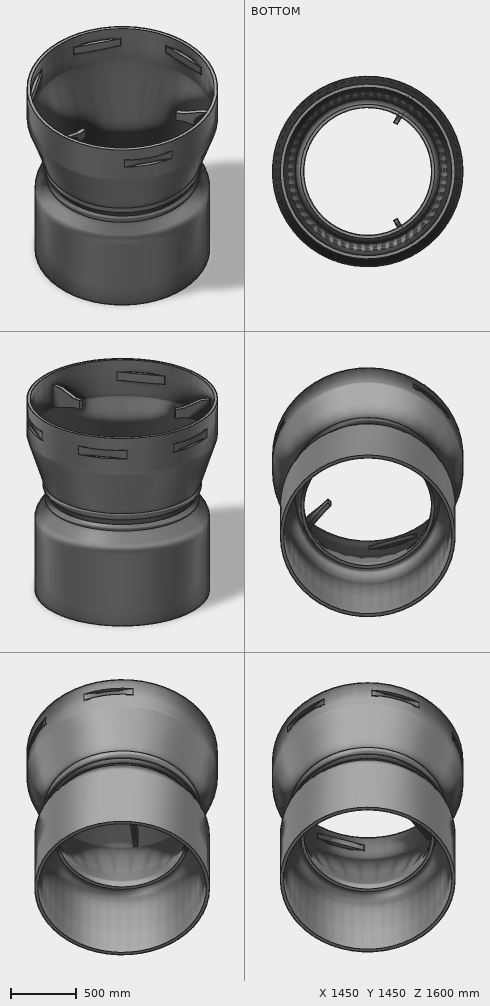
import cadquery as cq
import math

height = 1600.0
collar_outer_radius = 1450.0 / 2
collar_inner_radius = 1400.0 / 2
wall = collar_outer_radius - collar_inner_radius
pipe_outer_radius = 1330.0 / 2
pipe_inner_radius = pipe_outer_radius - wall

collar_bottom = 1310.0
funnel_angle = math.radians(18.2)
bend_outer_radius = 77.0
bend_inner_radius = bend_outer_radius - wall
spigot_outer_radius = 510.0
spigot_inner_radius = spigot_outer_radius - wall
spigot_length = 48.0
spigot_inner_bend = bend_outer_radius
spigot_outer_bend = bend_inner_radius

pipe_top = 600.0
shoulder_angle = math.radians(32.7)
shoulder_outer_bend = 128.0
shoulder_inner_bend = shoulder_outer_bend - wall

upper_bead_top = 910.0
upper_bead_bottom = 848.0
lower_bead_top = 803.0
lower_bead_bottom = 760.0
upper_bead_bulge = 16.0
lower_bead_bulge = 8.0

plate_top = height - 100.0
plate_height = 70.0
plate_width = 376.0
plate_inner_face = 675.0
plate_outer_face = 700.0
plate_angles = (0, 120, 180, 240)

fin_thickness = 32.0
fin_tip_radius = 422.0
fin_tip_flat_end = 483.0
fin_slope_end = 627.0
fin_top = plate_top
fin_tip_top = 1455.0
fin_tip_bottom = 1380.0
fin_bottom = 1302.0
fin_angles = (60, 300)


def bend_point(start_radius, start_z, bend_radius, angle, direction):
    """Point on an inward bend after turning by angle; direction is +1 upward, -1 downward."""
    radius = start_radius - bend_radius * (1 - math.cos(angle))
    return (radius, start_z + direction * bend_radius * math.sin(angle))


def funnel_bend(start_radius, bend_radius, angle):
    return bend_point(start_radius, collar_bottom, bend_radius, angle, -1)


def shoulder_bend(start_radius, bend_radius, angle):
    return bend_point(start_radius, pipe_top, bend_radius, angle, 1)


def spigot_bend(spigot_radius, spigot_top, bend_radius, angle):
    """Point on the outward bend above the spigot after turning by angle."""
    return (
        spigot_radius + bend_radius * (1 - math.cos(angle)),
        spigot_top + bend_radius * math.sin(angle),
    )


def funnel_outer_point(z):
    start_radius, start_z = funnel_bend(collar_outer_radius, bend_outer_radius, funnel_angle)
    return (start_radius - (start_z - z) * math.tan(funnel_angle), z)


def shoulder_outer_point(z):
    start_radius, start_z = shoulder_bend(pipe_outer_radius, shoulder_outer_bend, shoulder_angle)
    return (start_radius - (z - start_z) * math.tan(shoulder_angle), z)


def bulge_point(start, end, bulge):
    """Crown of a bead running downward from start to end, raised outward by bulge."""
    step_r = end[0] - start[0]
    step_z = end[1] - start[1]
    length = math.hypot(step_r, step_z)
    return (
        (start[0] + end[0]) / 2 - bulge * step_z / length,
        (start[1] + end[1]) / 2 + bulge * step_r / length,
    )


def make_shell_blank():
    upper_start = funnel_outer_point(upper_bead_top)
    upper_end = funnel_outer_point(upper_bead_bottom)
    lower_start = funnel_outer_point(lower_bead_top)
    lower_end = shoulder_outer_point(lower_bead_bottom)

    funnel_inner_start = funnel_bend(collar_inner_radius, bend_inner_radius, funnel_angle)
    cone_end_radius = spigot_bend(spigot_inner_radius, 0, spigot_inner_bend, funnel_angle)[0]
    cone_drop = (funnel_inner_start[0] - cone_end_radius) / math.tan(funnel_angle)
    spigot_top = funnel_inner_start[1] - cone_drop - spigot_inner_bend * math.sin(funnel_angle)
    spigot_bottom = spigot_top - spigot_length

    shoulder_inner_start = shoulder_bend(pipe_inner_radius, shoulder_inner_bend, shoulder_angle)
    gap = shoulder_inner_start[0] - funnel_outer_point(shoulder_inner_start[1])[0]
    rise = gap / (math.tan(shoulder_angle) + math.tan(funnel_angle))
    junction = funnel_outer_point(shoulder_inner_start[1] + rise)

    profile = (
        cq.Workplane("XZ")
        .moveTo(collar_inner_radius, height)
        .lineTo(collar_outer_radius, height)
        .lineTo(collar_outer_radius, collar_bottom)
        .threePointArc(
            funnel_bend(collar_outer_radius, bend_outer_radius, funnel_angle / 2),
            funnel_bend(collar_outer_radius, bend_outer_radius, funnel_angle),
        )
        .lineTo(*upper_start)
        .threePointArc(bulge_point(upper_start, upper_end, upper_bead_bulge), upper_end)
        .lineTo(*lower_start)
        .threePointArc(bulge_point(lower_start, lower_end, lower_bead_bulge), lower_end)
        .lineTo(*shoulder_bend(pipe_outer_radius, shoulder_outer_bend, shoulder_angle))
        .threePointArc(
            shoulder_bend(pipe_outer_radius, shoulder_outer_bend, shoulder_angle / 2),
            (pipe_outer_radius, pipe_top),
        )
        .lineTo(pipe_outer_radius, 0)
        .lineTo(pipe_inner_radius, 0)
        .lineTo(pipe_inner_radius, pipe_top)
        .threePointArc(
            shoulder_bend(pipe_inner_radius, shoulder_inner_bend, shoulder_angle / 2),
            shoulder_inner_start,
        )
        .lineTo(*junction)
        .lineTo(*spigot_bend(spigot_outer_radius, spigot_top, spigot_outer_bend, funnel_angle))
        .threePointArc(
            spigot_bend(spigot_outer_radius, spigot_top, spigot_outer_bend, funnel_angle / 2),
            (spigot_outer_radius, spigot_top),
        )
        .lineTo(spigot_outer_radius, spigot_bottom)
        .lineTo(spigot_inner_radius, spigot_bottom)
        .lineTo(spigot_inner_radius, spigot_top)
        .threePointArc(
            spigot_bend(spigot_inner_radius, spigot_top, spigot_inner_bend, funnel_angle / 2),
            spigot_bend(spigot_inner_radius, spigot_top, spigot_inner_bend, funnel_angle),
        )
        .lineTo(*funnel_inner_start)
        .threePointArc(
            funnel_bend(collar_inner_radius, bend_inner_radius, funnel_angle / 2),
            (collar_inner_radius, collar_bottom),
        )
        .close()
    )
    return profile.revolve(360, (0, 0, 0), (0, 1, 0))


def make_radial_block(inner_face, outer_face, angle):
    """Block with the plate's width and height, between two distances from the axis."""
    return (
        cq.Workplane("XY")
        .box(outer_face - inner_face, plate_width, plate_height, centered=(False, True, False))
        .translate((inner_face, 0, plate_top - plate_height))
        .rotate((0, 0, 0), (0, 0, 1), angle)
    )


def make_plate(angle):
    return make_radial_block(plate_inner_face, plate_outer_face, angle)


def make_window(angle):
    return make_radial_block(plate_inner_face, collar_outer_radius + wall, angle)


def make_shell():
    shell = make_shell_blank()
    for angle in plate_angles:
        shell = shell.cut(make_window(angle))
    return shell


def make_fin(angle):
    """Sloped fin whose root is trimmed to the round inside of the collar."""
    fin = (
        cq.Workplane("XZ")
        .moveTo(fin_tip_radius, fin_tip_top)
        .lineTo(fin_tip_flat_end, fin_tip_top)
        .lineTo(fin_slope_end, fin_top)
        .lineTo(collar_outer_radius, fin_top)
        .lineTo(collar_outer_radius, fin_bottom)
        .lineTo(fin_tip_flat_end, fin_tip_bottom)
        .lineTo(fin_tip_radius, fin_tip_bottom)
        .close()
        .extrude(fin_thickness / 2, both=True)
    )
    collar_bore = cq.Workplane("XY").circle(collar_inner_radius).extrude(height)
    return fin.intersect(collar_bore).rotate((0, 0, 0), (0, 0, 1), angle)


shell = make_shell()
plates = [make_plate(angle) for angle in plate_angles]
fins = [make_fin(angle) for angle in fin_angles]

result = cq.Compound.makeCompound([
    shell.val(),
    *[plate.val() for plate in plates],
    *[fin.val() for fin in fins],
])